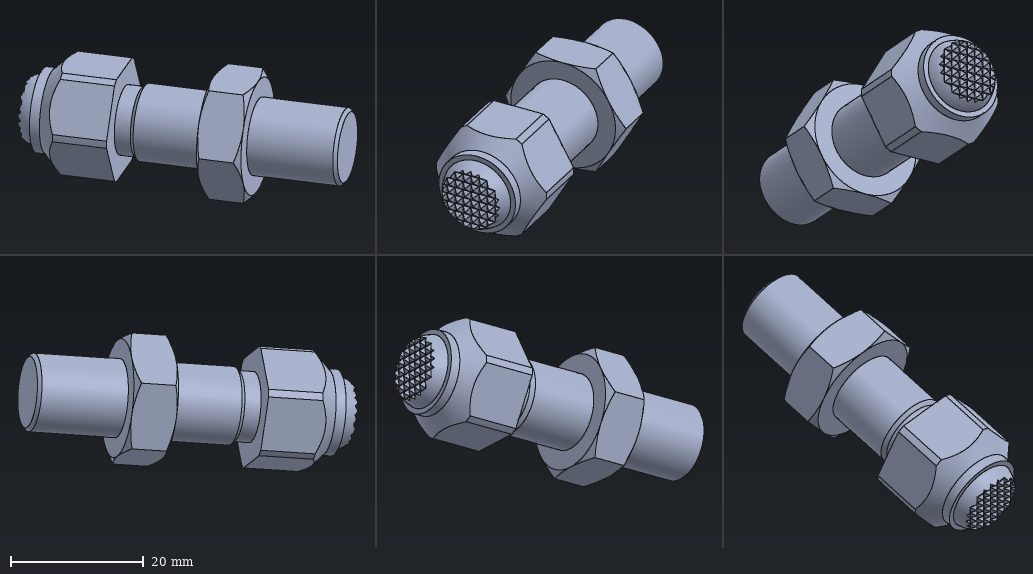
import cadquery as cq
import math

TOTAL_LENGTH = 50.7
HEXAGON_HALF_ANGLE = math.radians(30)

COLLAR_FRONT = 2.65
COLLAR_LENGTH = 1.55
COLLAR_RADIUS = 6.6
HEAD_END = 15.6
HEAD_ACROSS_FLATS = 17.0
HEAD_CORNER_RADIUS = 9.5
NECK_RADIUS = 5.35
NECK_LENGTH = 2.55
SHANK_RADIUS = 6.0
SHANK_CHAMFER = 0.55

NUT_ACROSS_FLATS = 18.0
NUT_THICKNESS = 7.0
NUT_FRONT = 29.6
NUT_CHAMFER_ANGLE = 30.0

BALL_RADIUS = 5.9
BALL_CENTER = 3.85
TOOTH_PITCH = 1.35
TOOTH_DEPTH = TOOTH_PITCH / 2
GROOVES_EACH_SIDE = 3


def turned(profile):
    """Solid of revolution about X from (x, radius) points; the first and last lie on the axis."""
    return cq.Workplane("XY").polyline(profile).close().revolve(360, (0, 0, 0), (1, 0, 0))


def hexagon_bar(across_flats, start, length):
    """Hexagonal bar along X with two flats facing up and down and two corners along Y."""
    across_corners = across_flats / math.cos(HEXAGON_HALF_ANGLE)
    return cq.Workplane("YZ").workplane(offset=start).polygon(6, across_corners).extrude(length)


def make_flatted_ball():
    """Ball on the X axis, cut off flat at X = 0."""
    flat_radius = math.sqrt(BALL_RADIUS**2 - BALL_CENTER**2)
    return (
        cq.Workplane("XY")
        .moveTo(0, 0)
        .lineTo(0, flat_radius)
        .threePointArc((BALL_CENTER, BALL_RADIUS), (BALL_CENTER + BALL_RADIUS, 0))
        .close()
        .revolve(360, (0, 0, 0), (1, 0, 0))
    )


def make_screw():
    collar_end = COLLAR_FRONT + COLLAR_LENGTH
    cone_length = HEAD_CORNER_RADIUS - COLLAR_RADIUS
    head_envelope = turned([
        (collar_end, 0),
        (collar_end, COLLAR_RADIUS),
        (collar_end + cone_length, HEAD_CORNER_RADIUS),
        (HEAD_END, HEAD_CORNER_RADIUS),
        (HEAD_END, 0),
    ])
    head = hexagon_bar(HEAD_ACROSS_FLATS, collar_end, HEAD_END - collar_end).intersect(head_envelope)

    collar = turned([
        (COLLAR_FRONT, 0),
        (COLLAR_FRONT, COLLAR_RADIUS),
        (collar_end, COLLAR_RADIUS),
        (collar_end, 0),
    ])

    neck_end = HEAD_END + NECK_LENGTH
    shank = turned([
        (HEAD_END, 0),
        (HEAD_END, NECK_RADIUS),
        (neck_end, NECK_RADIUS),
        (neck_end + SHANK_RADIUS - NECK_RADIUS, SHANK_RADIUS),
        (TOTAL_LENGTH - SHANK_CHAMFER, SHANK_RADIUS),
        (TOTAL_LENGTH, SHANK_RADIUS - SHANK_CHAMFER),
        (TOTAL_LENGTH, 0),
    ])
    return head.union(collar).union(shank).cut(make_flatted_ball())


def make_nut():
    flat_radius = NUT_ACROSS_FLATS / 2
    corner_radius = flat_radius / math.cos(HEXAGON_HALF_ANGLE)
    chamfer_length = (corner_radius - flat_radius) * math.tan(math.radians(NUT_CHAMFER_ANGLE))
    nut_end = NUT_FRONT + NUT_THICKNESS
    envelope = turned([
        (NUT_FRONT, 0),
        (NUT_FRONT, flat_radius),
        (NUT_FRONT + chamfer_length, corner_radius),
        (nut_end - chamfer_length, corner_radius),
        (nut_end, flat_radius),
        (nut_end, 0),
    ])
    bore = cq.Workplane("YZ").workplane(offset=NUT_FRONT).circle(SHANK_RADIUS).extrude(NUT_THICKNESS)
    return hexagon_bar(NUT_ACROSS_FLATS, NUT_FRONT, NUT_THICKNESS).intersect(envelope).cut(bore)


def make_groove(offset):
    """V-groove of 90 degrees running along Z, its bottom at the given Y."""
    return (
        cq.Workplane("XY")
        .moveTo(0, offset - TOOTH_DEPTH)
        .lineTo(TOOTH_DEPTH, offset)
        .lineTo(0, offset + TOOTH_DEPTH)
        .close()
        .extrude(BALL_RADIUS, both=True)
    )


def make_gripping_ball():
    ball = make_flatted_ball()
    for index in range(-GROOVES_EACH_SIDE, GROOVES_EACH_SIDE + 1):
        groove = make_groove(index * TOOTH_PITCH)
        ball = ball.cut(groove)
        ball = ball.cut(groove.rotate((0, 0, 0), (1, 0, 0), 90))
    return ball


screw = make_screw()
nut = make_nut()
gripping_ball = make_gripping_ball()

result = cq.Compound.makeCompound([screw.val(), nut.val(), gripping_ball.val()])